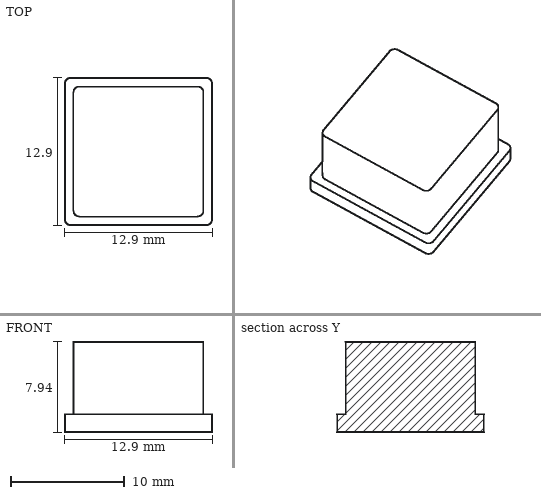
import cadquery as cq

base_side = 12.95
total_height = 7.94

base_height = 1.59
ledge_width = 0.76
corner_radius = 0.52
body_side = base_side - 2 * ledge_width
body_height = total_height - base_height


def rounded_square_block(side, height, bottom_z):
    """Square block centred on the Z axis with rounded vertical edges."""
    block = cq.Workplane("XY").workplane(offset=bottom_z).rect(side, side).extrude(height)
    return block.edges("|Z").fillet(corner_radius)


base = rounded_square_block(base_side, base_height, 0)
body = rounded_square_block(body_side, body_height, base_height)

result = base.union(body)